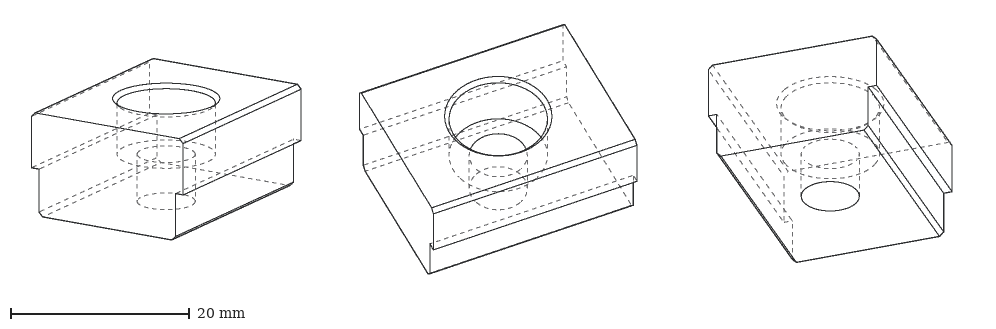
import cadquery as cq

length = 25.0
head_width = 20.0
height = 12.0

head_height = 6.5
side_step = 1.0
edge_chamfer = 0.5

hole_diameter = 6.5
bore_diameter = 11.0
bore_depth = 6.5
bore_chamfer = 0.5

stem_width = head_width - 2 * side_step
stem_height = height - head_height


def long_bar(width, bar_height, chamfered_face):
    """Bar along Y resting on Z = 0, with the long edges of one face chamfered."""
    bar = cq.Workplane("XY").box(width, length, bar_height, centered=(True, True, False))
    return bar.faces(chamfered_face).edges("|Y").chamfer(edge_chamfer)


stem = long_bar(stem_width, stem_height, "<Z")
head = long_bar(head_width, head_height, ">Z").translate((0, 0, stem_height))
block = stem.union(head)

bored = block.faces(">Z").workplane(origin=(0, 0, height)).cboreHole(hole_diameter, bore_diameter, bore_depth)
result = bored.faces(">Z").edges("%CIRCLE").chamfer(bore_chamfer)